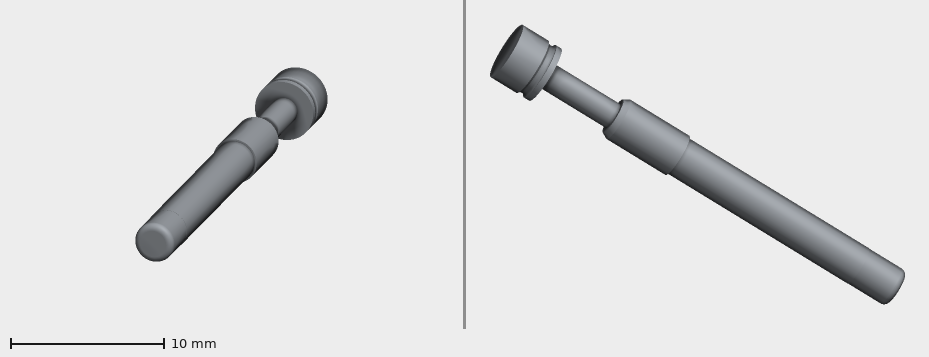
import cadquery as cq

total_length = 30.3

head_diameter = 4.0
groove_diameter = 3.65
stem_diameter = 1.82
lead_in_diameter = 2.55
sleeve_diameter = 3.0
tube_diameter = 2.7
tip_diameter = 2.67

groove_start = 2.0
groove_end = 2.58
flange_end = 3.0
stem_end = 8.27
sleeve_start = 8.7
sleeve_end = 13.27
tip_start = 27.33

groove_chamfer_length = 0.15
groove_fillet_radius = 0.15
tip_radius = 0.42


def point_at(diameter, distance_from_head):
    """Profile point (X, Y) at a diameter and a distance from the head face."""
    return (diameter / 2, total_length / 2 - distance_from_head)


def turn(outline):
    """Solid made by turning a closed half profile about the Y axis."""
    return outline.revolve(360, (0, 0, 0), (0, 1, 0))


def cylinder(diameter, start, end):
    """Plain cylindrical section between two stations."""
    outline = (
        cq.Workplane("XY")
        .moveTo(*point_at(0, start))
        .lineTo(*point_at(diameter, start))
        .lineTo(*point_at(diameter, end))
        .lineTo(*point_at(0, end))
        .close()
    )
    return turn(outline)


def grooved_head():
    """Head with a groove, chamfered on the head side and filleted at the flange."""
    fillet_top_diameter = groove_diameter + 2 * groove_fillet_radius
    outline = (
        cq.Workplane("XY")
        .moveTo(*point_at(0, 0))
        .lineTo(*point_at(head_diameter, 0))
        .lineTo(*point_at(head_diameter, groove_start))
        .lineTo(*point_at(groove_diameter, groove_start + groove_chamfer_length))
        .lineTo(*point_at(groove_diameter, groove_end - groove_fillet_radius))
        .tangentArcPoint(point_at(fillet_top_diameter, groove_end), relative=False)
        .lineTo(*point_at(head_diameter, groove_end))
        .lineTo(*point_at(head_diameter, flange_end))
        .lineTo(*point_at(0, flange_end))
        .close()
    )
    return turn(outline)


def tapered_sleeve():
    """Sleeve with a conical lead-in facing the head."""
    outline = (
        cq.Workplane("XY")
        .moveTo(*point_at(0, stem_end))
        .lineTo(*point_at(lead_in_diameter, stem_end))
        .lineTo(*point_at(sleeve_diameter, sleeve_start))
        .lineTo(*point_at(sleeve_diameter, sleeve_end))
        .lineTo(*point_at(0, sleeve_end))
        .close()
    )
    return turn(outline)


def rounded_tip():
    """End section with a rounded rim around its flat end face."""
    return cylinder(tip_diameter, tip_start, total_length).faces("<Y").edges().fillet(tip_radius)


result = (
    grooved_head()
    .union(cylinder(stem_diameter, flange_end, stem_end))
    .union(tapered_sleeve())
    .union(cylinder(tube_diameter, sleeve_end, tip_start))
    .union(rounded_tip())
)